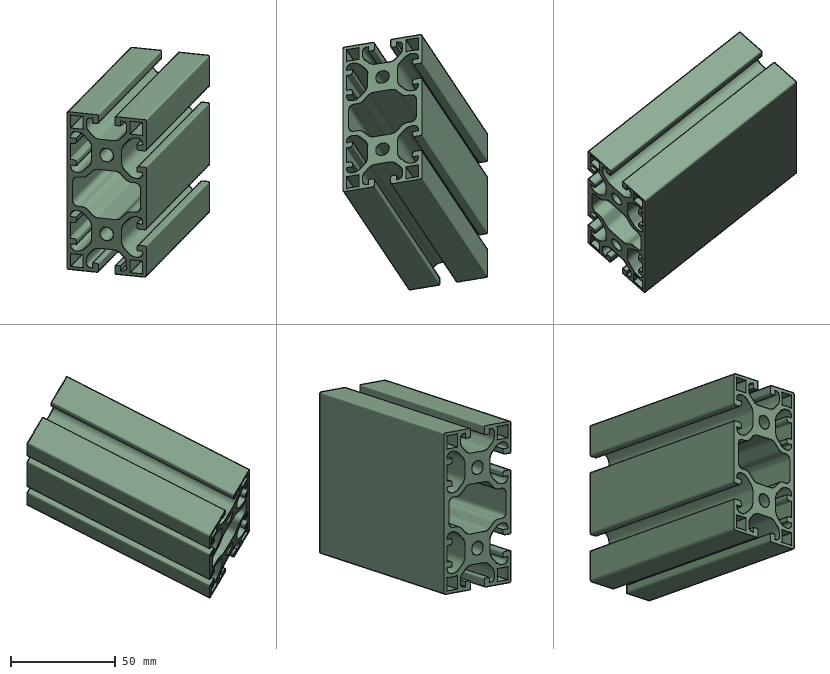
import cadquery as cq
import math

width = 40.0
height = 80.0
length = 100.0
edge_radius = 1.0

core_offset = (height - width) / 2
core_half_height = 7.7
bore_diameter = 6.8

mouth_half = 4.1
lip_edge_radius = 0.8
mouth_flare = 2.0

end_lip_depth = 4.5
end_lip_outer = 7.1
end_pocket_half = 10.1
end_pocket_roof = 2.0
end_pocket_floor = 12.3
end_diagonal = 17.8
end_hook_radius = 2.2
end_side_radius = 4.0
end_floor_radius = 4.8

side_wall = 1.8
side_lip_depth = 4.8
side_lip_tip_radius = 1.3
side_lip_outer = 6.9
side_pocket_half = 10.3
side_pocket_floor = 12.5
side_diagonal = 17.5
side_hook_radius = 2.9
side_shoulder_radius = 5.5
side_floor_radius = 5.5
root_radius = 0.4

hollow_width = 6.3
hollow_height = 6.5
hollow_side_wall = 1.8
hollow_end_wall = 1.6

chamber_half_width = 17.1
chamber_side_half_height = 7.5
chamber_half_height = core_offset - core_half_height
chamber_diagonal = 18.3
chamber_corner_radius = 2.8
chamber_bend_radius = 4.0


def prism(corners):
    """Extrude a closed polygon of (x, z, corner radius) along the full length."""
    path = None
    for i, (x, z, radius) in enumerate(corners):
        here = cq.Vector(x, z)
        to_last = (cq.Vector(*corners[i - 1][:2]) - here).normalized()
        to_next = (cq.Vector(*corners[(i + 1) % len(corners)][:2]) - here).normalized()
        half_angle = to_last.getAngle(to_next) / 2
        setback = radius / math.tan(half_angle)
        start = (here + to_last * setback).toTuple()[:2]
        if path is None:
            path = cq.Workplane("XZ").moveTo(*start)
        else:
            path = path.lineTo(*start)
        if radius > 0:
            bisector = (to_last + to_next).normalized()
            middle = here + bisector * (radius / math.sin(half_angle) - radius)
            end = here + to_next * setback
            path = path.threePointArc(middle.toTuple()[:2], end.toTuple()[:2])
    return path.close().extrude(length / 2, both=True)


def mirrored(half):
    """Complete a half outline by reflecting its first coordinate."""
    return half + [(-u, v, radius) for u, v, radius in reversed(half)]


open_mouth = [
    (mouth_half + mouth_flare, -mouth_flare, 0),
    (mouth_half + mouth_flare, 0, 0),
    (mouth_half, 0, lip_edge_radius),
]
closed_mouth = [(mouth_half, side_wall, root_radius)]

end_pocket = [
    (mouth_half, end_lip_depth, lip_edge_radius),
    (end_lip_outer, end_lip_depth, 0),
    (end_lip_outer, end_pocket_roof, 0),
    (end_pocket_half, end_pocket_roof, end_hook_radius),
    (end_pocket_half, end_diagonal - end_pocket_half, end_side_radius),
    (end_diagonal - end_pocket_floor, end_pocket_floor, end_floor_radius),
]
side_pocket = [
    (mouth_half, side_lip_depth, side_lip_tip_radius),
    (side_lip_outer, side_lip_depth, 0),
    (side_lip_outer, side_wall, root_radius),
    (side_pocket_half, side_wall, side_hook_radius),
    (side_pocket_half, side_diagonal - side_pocket_half, side_shoulder_radius),
    (side_diagonal - side_pocket_floor, side_pocket_floor, side_floor_radius),
]


def end_slot(side):
    """Open slot in the +Z (side = 1) or -Z (side = -1) face."""
    outline = mirrored(open_mouth + end_pocket)
    return prism([(u, side * (height / 2 - depth), radius) for u, depth, radius in outline])


def side_slot(mouth, side, core_z):
    """Slot behind the +X (side = 1) or -X (side = -1) face, level with a core."""
    outline = mirrored(mouth + side_pocket)
    return prism([(side * (width / 2 - depth), core_z + u, radius) for u, depth, radius in outline])


def middle_chamber():
    upper_right = [
        (chamber_half_width, chamber_side_half_height, chamber_corner_radius),
        (chamber_diagonal - chamber_side_half_height, chamber_side_half_height, chamber_bend_radius),
        (chamber_diagonal - chamber_half_height, chamber_half_height, chamber_bend_radius),
    ]
    upper = mirrored(upper_right)
    lower = [(x, -z, radius) for x, z, radius in reversed(upper)]
    return prism(upper + lower)


def corner_hollows():
    x = width / 2 - hollow_side_wall - hollow_width / 2
    z = height / 2 - hollow_end_wall - hollow_height / 2
    return (
        cq.Workplane("XZ")
        .rarray(2 * x, 2 * z, 2, 2)
        .rect(hollow_width, hollow_height)
        .extrude(length / 2, both=True)
    )


def core_bores():
    return (
        cq.Workplane("XZ")
        .pushPoints([(0, core_offset), (0, -core_offset)])
        .circle(bore_diameter / 2)
        .extrude(length / 2, both=True)
    )


result = cq.Workplane("XY").box(width, length, height).edges("|Y").fillet(edge_radius)
result = result.cut(middle_chamber()).cut(corner_hollows()).cut(core_bores())

for side in (1, -1):
    core_z = side * core_offset
    result = result.cut(end_slot(side))
    result = result.cut(side_slot(open_mouth, 1, core_z))
    result = result.cut(side_slot(closed_mouth, -1, core_z))